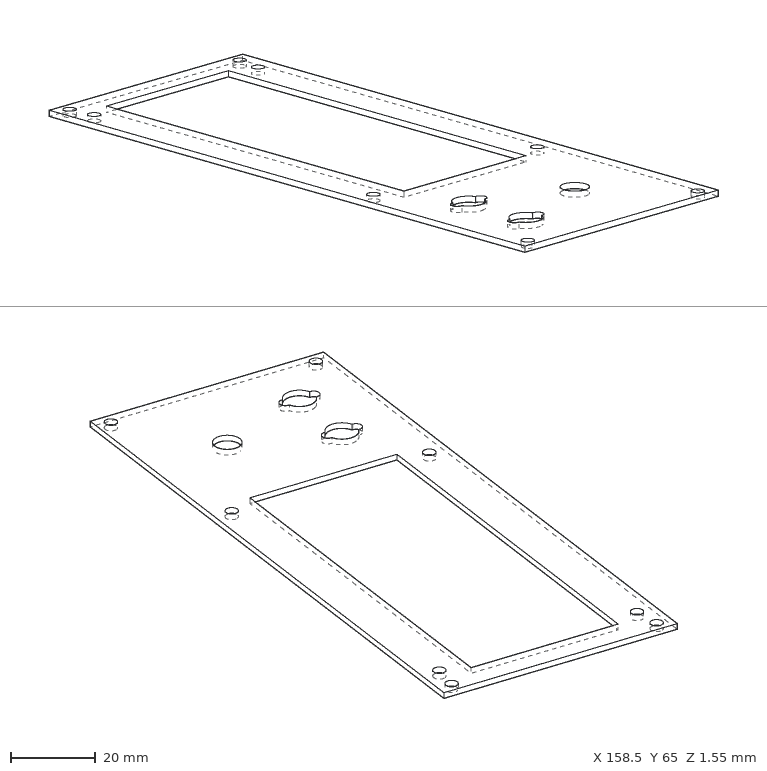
import cadquery as cq

plate_length = 158.5
plate_width = 65.0
plate_thickness = 1.55

screw_hole_diameter = 3.2
corner_spacing_x = 152.6
corner_spacing_y = 57.0

window_x = -22.5
window_length = 99.0
window_width = 40.9
display_holes_x = -22.7
display_spacing_x = 93.0
display_spacing_y = 55.0

controls_x = 53.3
round_hole_y = 10.5
round_hole_diameter = 7.0

lobed_spacing = 19.0
lobed_y = -15.5
lobed_diameter = 8.1
lobe_width = 3.0
lobe_tip_to_tip = 11.0


def through_cutter(centre_x, centre_y=0.0):
    """Sketch plane at the underside of the plate, centred on a cut-out."""
    return cq.Workplane("XY").center(centre_x, centre_y)


def screw_holes(centre_x, spacing_x, spacing_y):
    """Four screw holes at the corners of a rectangle."""
    corners = through_cutter(centre_x).rarray(spacing_x, spacing_y, 2, 2)
    return corners.circle(screw_hole_diameter / 2).extrude(plate_thickness)


def lobed_opening(centre_x):
    """Round opening crossed by a round-ended slot along Y."""
    base = through_cutter(centre_x, lobed_y)
    bore = base.circle(lobed_diameter / 2).extrude(plate_thickness)
    lobes = base.slot2D(lobe_tip_to_tip, lobe_width, 90).extrude(plate_thickness)
    return bore.union(lobes)


plate = cq.Workplane("XY").box(plate_length, plate_width, plate_thickness, centered=(True, True, False))

window = through_cutter(window_x).rect(window_length, window_width).extrude(plate_thickness)
round_hole = through_cutter(controls_x, round_hole_y).circle(round_hole_diameter / 2).extrude(plate_thickness)

result = (
    plate.cut(window)
    .cut(screw_holes(0.0, corner_spacing_x, corner_spacing_y))
    .cut(screw_holes(display_holes_x, display_spacing_x, display_spacing_y))
    .cut(round_hole)
)
for side in (-1, 1):
    result = result.cut(lobed_opening(controls_x + side * lobed_spacing / 2))